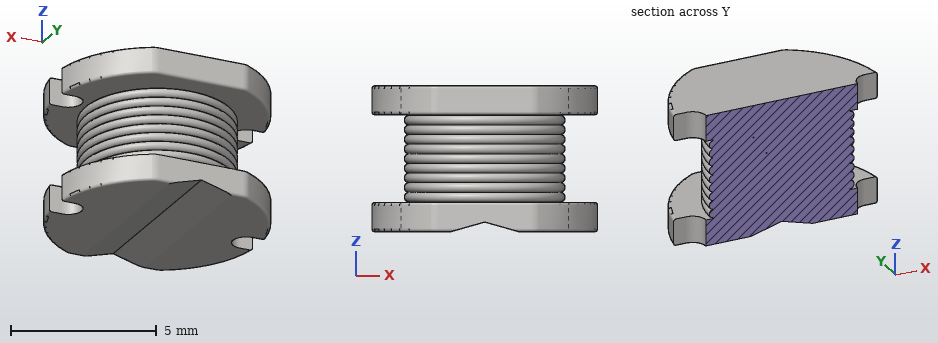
import cadquery as cq
import math

flange_radius = 3.9
flat_distance = 3.5
top_thickness = 1.0
bottom_thickness = 1.01
corner_radius = 0.5
edge_radius = 0.1
slot_width = 1.0
slot_bottom = 2.88

total_height = 5.01
winding_height = total_height - top_thickness - bottom_thickness
turn_count = 9
turn_pitch = 0.33
end_gap = (winding_height - turn_count * turn_pitch) / 2
winding_radius = 2.76
valley_depth = 0.15
valley_radius = winding_radius - valley_depth

groove_width = 2.34
groove_height = 0.33


def make_flange(thickness):
    """Flange standing on Z = 0."""
    flat_length = 2 * math.sqrt(flange_radius**2 - flat_distance**2)
    disc = cq.Workplane("XY").circle(flange_radius).extrude(thickness)
    flats = cq.Workplane("XY").rect(2 * flange_radius, 2 * flat_distance).extrude(thickness)
    body = disc.intersect(flats)
    corner_selector = cq.selectors.BoxSelector(
        (-flat_length, -2 * flat_distance, 0),
        (flat_length, 2 * flat_distance, thickness),
    )
    body = body.edges("|Z").edges(corner_selector).fillet(corner_radius)
    body = body.faces("<Z or >Z").edges().fillet(edge_radius)
    return body.cut(make_slots(thickness))


def make_slots(thickness):
    """Round-ended slots open to -X and +X."""
    slot_length = 2 * (flange_radius - slot_bottom) + slot_width
    slot_centre = slot_bottom + slot_length / 2
    return (
        cq.Workplane("XY")
        .pushPoints([(-slot_centre, 0), (slot_centre, 0)])
        .slot2D(slot_length, slot_width)
        .extrude(thickness)
    )


def make_winding():
    """Core with one bulging ring per turn, standing on the bottom flange."""
    core_top = bottom_thickness + winding_height
    first_ring_bottom = bottom_thickness + end_gap
    profile = (
        cq.Workplane("XZ")
        .moveTo(0, bottom_thickness)
        .lineTo(-valley_radius, bottom_thickness)
        .lineTo(-valley_radius, first_ring_bottom)
    )
    for turn in range(turn_count):
        ring_bottom = first_ring_bottom + turn * turn_pitch
        crest = (-winding_radius, ring_bottom + turn_pitch / 2)
        profile = profile.threePointArc(crest, (-valley_radius, ring_bottom + turn_pitch))
    profile = profile.lineTo(-valley_radius, core_top).lineTo(0, core_top).close()
    return profile.revolve(360, (0, 0, 0), (0, 1, 0))


def make_groove():
    """V groove running through the bottom flange along Y."""
    return (
        cq.Workplane("XZ")
        .polyline([(-groove_width / 2, 0), (groove_width / 2, 0), (0, groove_height)])
        .close()
        .extrude(flange_radius, both=True)
    )


bottom_flange = make_flange(bottom_thickness).cut(make_groove())
top_flange = make_flange(top_thickness).translate((0, 0, total_height - top_thickness))
result = bottom_flange.union(make_winding()).union(top_flange)